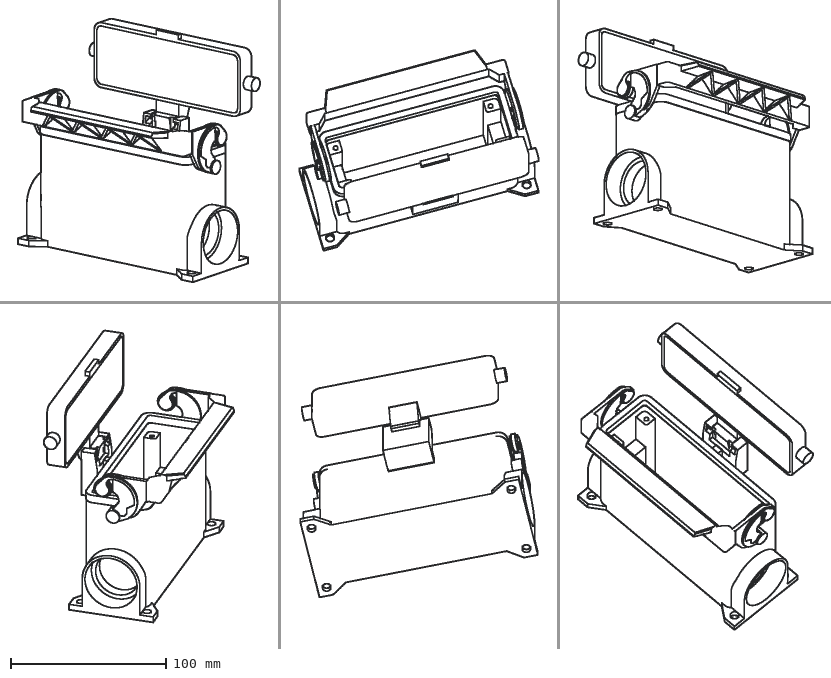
import cadquery as cq
import math

HALF_LENGTH = 72.0
RIM_X = 61.9
BOX_X = 61.8
BOX_HEIGHT = 79.8
BOX_BACK = 22.0
BOX_FRONT = -21.5
BOX_RADIUS = 6.0
RIM_BOTTOM = 74.5
RIM_FRONT = -BOX_BACK
CAVITY_X = 57.9
CAVITY_Y = 17.9
MOUTH_RADIUS = 2.0
CAVITY_RADIUS = 2.9
CAVITY_STEP = 0.1
BASE_THICKNESS = 4.0

POST_INNER_X = 48.2
POST_INNER_Y = 9.8
POST_TOP = 68.3
POST_RADIUS = 1.5
POST_HOLE_X = 51.8
POST_HOLE_Y = 13.4
POST_HOLE_RADIUS = 1.5
POST_HOLE_DEPTH = 14.4
BLOCK_INNER_X = 49.0

BOSS_RADIUS = 19.6
BOSS_Z = 23.9
BORE_RADIUS = 14.8
COUNTERBORE_RADIUS = 17.7
COUNTERBORE_DEPTH = 13.2
BORE_DEPTH = 21.0

FOOT_Y = 28.5
FOOT_TIP_X = 63.0
FOOT_ROOT_X = 53.0
FOOT_HOLE_X = 65.8
FOOT_HOLE_Y = 22.3
FOOT_HOLE_RADIUS = 2.7

PIN_RADIUS = 4.5
PIVOT_Z = 70.0
PIVOT_END_X = 68.5
COVER_PIN_Y = 42.9
COVER_PIN_END_X = 66.8

COVER_X = 60.2
COVER_BOTTOM = 93.7
COVER_TOP = 137.2
COVER_FRONT = 35.3
COVER_BACK = 47.8
COVER_RADIUS = 5.9
COVER_EDGE = 1.2
COVER_WALL = 2.3
COVER_CAVITY_FILLET = 1.3
TAB_X = 9.2
TAB_TOP = 140.3
TAB_BACK = 38.5

HINGE_X = 15.1
HINGE_BACK = 39.0
HINGE_BOTTOM = 53.9
HINGE_TOP = 85.1
HINGE_TOP_FRONT = 30.1
HINGE_FRONT = 28.4
HINGE_FOOT_TOP = 59.8
HINGE_STEP_Y = 23.6
HINGE_STEP_Z = 55.7
HINGE_RIB_X = 2.7
TONGUE_FRONT = 35.4
TONGUE_TIP_Y = 42.5
TONGUE_BEVEL = 1.2
KNUCKLE_FRONT = 31.2
KNUCKLE_TOP = 85.7
KNUCKLE_BOTTOM = 76.2
SLOT_FLOOR = 73.7
NOSE_X = 6.2
NOSE_TIP_Y = 29.7
NOSE_TIP_Z = 85.2
POCKET_X = (9.0, 13.2)
POCKET_FLOOR = 78.5
POCKET_FLOOR_BACK = 81.0
POCKET_TOP = 83.2
POCKET_BACK = 33.1

LEVER_TOP = 97.9
BAR_BOTTOM = 83.8
BAR_FRONT = -31.8
BAR_BACK = -27.8
BAR_ROOT_Y = -22.0
BAR_END_X = 66.7
BAR_ROOT_X = 60.2
BAR_ELBOW_X = 54.9
BAR_CORNER = 1.9
BAR_EDGE = 1.3
WEB_X = (63.5, 66.1)
DISC_X = (62.2, 67.2)
DISC_INSET = 0.1
PAD_OUTER_X = 67.4
HEEL = (-10.1, 69.7)
CHEEK_FOOT = (-3.6, 66.7)
LOBE_Y = 7.8
LOBE_Z = 87.7
WEB_LOBE_RADIUS = 5.8
DISC_LOBE_RADIUS = 4.8
LIP_ROOT_X = 53.9
LIP_TIP_X = 49.5
LIP_TIP_Y = -43.2
LIP_TOP_Z = 99.0
LIP_BEVEL_Y = 1.3
LIP_BEVEL_Z = 2.3
LIP_TIP_BOTTOM = 95.8
LIP_ROOT_BOTTOM = 93.9
LIP_EDGE = 0.7
TRUSS_PITCH = 23.9
TRUSS_BAYS = 8
TRUSS_BOTTOM = 84.4
TRUSS_TOP = 95.3
TRUSS_TIP_Y = -41.6
TRUSS_THICKNESS = 1.5


def block(x0, x1, y0, y1, z0, z1):
    """Box between two opposite corners."""
    return cq.Workplane("XY").box(x1 - x0, y1 - y0, z1 - z0, centered=False).translate((x0, y0, z0))


def x_cylinder(radius, x0, x1, y, z):
    """Cylinder along X between x0 and x1."""
    return cq.Workplane("YZ", origin=(x0, y, z)).circle(radius).extrude(x1 - x0)


def slab(outline, x_range):
    """Closed YZ outline extruded between two X positions."""
    x0, x1 = x_range
    return outline.close().extrude(x1 - x0).translate((x0, 0, 0))


def mirrored(shape):
    """The shape together with its mirror image across the YZ plane."""
    return shape.union(shape.mirror("YZ"))


def make_box():
    body = block(-BOX_X, BOX_X, BOX_FRONT, BOX_BACK, 0, BOX_HEIGHT)
    body = body.edges("|Z").fillet(BOX_RADIUS)
    rim = block(-RIM_X, RIM_X, RIM_FRONT, BOX_BACK, RIM_BOTTOM, BOX_HEIGHT)
    return body.union(rim.edges("|Z").fillet(BOX_RADIUS))


def make_cavity():
    mouth = block(-CAVITY_X, CAVITY_X, -CAVITY_Y, CAVITY_Y, RIM_BOTTOM, BOX_HEIGHT)
    mouth = mouth.edges("|Z").fillet(MOUTH_RADIUS)
    x = CAVITY_X - CAVITY_STEP
    y = CAVITY_Y - CAVITY_STEP
    cavity = block(-x, x, -y, y, BASE_THICKNESS, RIM_BOTTOM)
    cavity = cavity.edges("|Z").fillet(CAVITY_RADIUS).union(mouth)
    end_block = block(BLOCK_INNER_X, BOX_X, -BOX_BACK, BOX_BACK, 0, BOSS_Z + BOSS_RADIUS)
    cavity = cavity.cut(mirrored(end_block))
    for side in (-1, 1):
        y0, y1 = sorted((side * POST_INNER_Y, side * BOX_BACK))
        post = block(POST_INNER_X, BOX_X, y0, y1, 0, POST_TOP)
        inner_edge = "|Z and <X and " + ("<Y" if side > 0 else ">Y")
        post = post.edges(inner_edge).fillet(POST_RADIUS)
        cavity = cavity.cut(mirrored(post))
    return cavity


def make_post_holes():
    points = [(x, y) for x in (-POST_HOLE_X, POST_HOLE_X) for y in (-POST_HOLE_Y, POST_HOLE_Y)]
    plane = cq.Workplane("XY", origin=(0, 0, POST_TOP))
    return plane.pushPoints(points).circle(POST_HOLE_RADIUS).extrude(-POST_HOLE_DEPTH)


def make_boss():
    """Cable boss at +X with a round top and straight flanks."""
    dome = x_cylinder(BOSS_RADIUS, CAVITY_X, HALF_LENGTH, 0, BOSS_Z)
    return dome.union(block(CAVITY_X, HALF_LENGTH, -BOSS_RADIUS, BOSS_RADIUS, 0, BOSS_Z))


def make_cable_entry():
    """Blind stepped bore in the +X boss."""
    bore = x_cylinder(BORE_RADIUS, HALF_LENGTH - BORE_DEPTH, HALF_LENGTH, 0, BOSS_Z)
    shoulder_x = HALF_LENGTH - COUNTERBORE_DEPTH
    return bore.union(x_cylinder(COUNTERBORE_RADIUS, shoulder_x, HALF_LENGTH, 0, BOSS_Z))


def make_foot():
    """Mounting plate under the +X end with two screw holes."""
    outline = [
        (HALF_LENGTH, -FOOT_Y),
        (HALF_LENGTH, FOOT_Y),
        (FOOT_TIP_X, FOOT_Y),
        (FOOT_ROOT_X, BOX_BACK),
        (FOOT_ROOT_X, BOX_FRONT),
        (FOOT_TIP_X, -FOOT_Y),
    ]
    foot = cq.Workplane("XY").polyline(outline).close().extrude(BASE_THICKNESS)
    holes = cq.Workplane("XY").pushPoints([(FOOT_HOLE_X, -FOOT_HOLE_Y), (FOOT_HOLE_X, FOOT_HOLE_Y)])
    return foot.cut(holes.circle(FOOT_HOLE_RADIUS).extrude(BASE_THICKNESS))


def make_hinge():
    """Bracket on the back wall, with a central rib and two pockets."""
    outline = [
        (BOX_BACK, HINGE_STEP_Z),
        (HINGE_STEP_Y, HINGE_STEP_Z),
        (HINGE_STEP_Y, HINGE_BOTTOM),
        (HINGE_BACK, HINGE_BOTTOM),
        (HINGE_BACK, HINGE_TOP),
        (HINGE_TOP_FRONT, HINGE_TOP),
        (HINGE_FRONT, RIM_BOTTOM),
        (HINGE_FRONT, HINGE_FOOT_TOP),
        (BOX_BACK, HINGE_FOOT_TOP),
    ]
    bracket = cq.Workplane("YZ").polyline(outline).close().extrude(HINGE_X, both=True)
    slot = block(-TAB_X, TAB_X, BOX_BACK, KNUCKLE_FRONT, SLOT_FLOOR, HINGE_TOP)
    pocket_outline = [
        (BOX_BACK, POCKET_FLOOR),
        (HINGE_FRONT, POCKET_FLOOR),
        (POCKET_BACK, POCKET_FLOOR_BACK),
        (POCKET_BACK, POCKET_TOP),
        (BOX_BACK, POCKET_TOP),
    ]
    pocket = slab(cq.Workplane("YZ").polyline(pocket_outline), POCKET_X)
    rib = block(-HINGE_RIB_X, HINGE_RIB_X, BOX_BACK, HINGE_FRONT, HINGE_FOOT_TOP, RIM_BOTTOM)
    return bracket.cut(slot).cut(mirrored(pocket)).union(rib)


def make_cover():
    shell = block(-COVER_X, COVER_X, COVER_FRONT, COVER_BACK, COVER_BOTTOM, COVER_TOP)
    shell = shell.edges("|Y").fillet(COVER_RADIUS)
    shell = shell.faces(">Y").edges().fillet(COVER_EDGE)
    inner_x = COVER_X - COVER_WALL
    inner_z0 = COVER_BOTTOM + COVER_WALL
    inner_z1 = COVER_TOP - COVER_WALL
    hollow = block(-inner_x, inner_x, COVER_FRONT, COVER_BACK - COVER_WALL, inner_z0, inner_z1)
    hollow = hollow.edges("|Y").fillet(COVER_RADIUS - COVER_WALL)
    hollow = hollow.faces(">Y").edges().fillet(COVER_CAVITY_FILLET)
    shell = shell.cut(hollow)
    tab = block(-TAB_X, TAB_X, COVER_FRONT, TAB_BACK, inner_z1, TAB_TOP)
    pin_z = (COVER_BOTTOM + COVER_TOP) / 2
    pin = x_cylinder(PIN_RADIUS, inner_x, COVER_PIN_END_X, COVER_PIN_Y, pin_z)
    return shell.union(tab).union(mirrored(pin.cut(hollow)))


def make_tongue():
    """Tapered tongue that carries the cover, ending in a knuckle in the hinge."""
    outline = [
        (TONGUE_FRONT, COVER_BOTTOM + COVER_WALL),
        (COVER_BACK - COVER_EDGE, COVER_BOTTOM + COVER_WALL),
        (COVER_BACK, COVER_BOTTOM - COVER_EDGE),
        (TONGUE_TIP_Y, KNUCKLE_BOTTOM + TONGUE_BEVEL),
        (TONGUE_TIP_Y - TONGUE_BEVEL, KNUCKLE_BOTTOM),
        (KNUCKLE_FRONT, KNUCKLE_BOTTOM),
        (KNUCKLE_FRONT, KNUCKLE_TOP),
        (TONGUE_FRONT, KNUCKLE_TOP),
    ]
    tongue = cq.Workplane("YZ").polyline(outline).close().extrude(TAB_X, both=True)
    nose_outline = [
        (KNUCKLE_FRONT, KNUCKLE_TOP),
        (NOSE_TIP_Y, NOSE_TIP_Z),
        (KNUCKLE_FRONT, KNUCKLE_BOTTOM),
    ]
    nose = cq.Workplane("YZ").polyline(nose_outline).close().extrude(NOSE_X, both=True)
    return tongue.union(nose)


def make_housing():
    """Box, bosses, feet, pivot pins, hinge and the cover that hangs on it."""
    body = make_box().union(mirrored(make_boss())).union(mirrored(make_foot()))
    body = body.cut(make_cavity()).cut(make_post_holes()).cut(mirrored(make_cable_entry()))
    pivot = x_cylinder(PIN_RADIUS, CAVITY_X, PIVOT_END_X, 0, PIVOT_Z)
    body = body.union(mirrored(pivot))
    return body.union(make_hinge()).union(make_tongue()).union(make_cover())


def seat_edge():
    """Edge shared by all cheek layers: from the pivot pin up to the top of the throat."""
    return (
        cq.Workplane("YZ")
        .moveTo(0, PIVOT_Z)
        .lineTo(0.5, 74.9)
        .lineTo(-3.3, 79.8)
        .threePointArc((-2.3, 85.5), (0.3, 87.1))
        .lineTo(0.3, 96.3)
    )


def hook_edge(lobe_radius, inset):
    """Seat edge continued around the throat and the lobe to the top edge of the cheek."""
    slant = lobe_radius * math.sqrt(0.5)
    return (
        seat_edge()
        .threePointArc((3.3, 95), (4.9, 92.5))
        .lineTo(LOBE_Y - slant, LOBE_Z + slant)
        .threePointArc((LOBE_Y, LOBE_Z - lobe_radius), (LOBE_Y + slant, LOBE_Z + slant))
        .lineTo(6.3, 96.5 - inset)
        .threePointArc((4.6, 97.5 - inset), (2.5, LEVER_TOP - inset))
    )


def make_web():
    """Thin layer of the cheek that reaches the cross bar."""
    outline = (
        hook_edge(WEB_LOBE_RADIUS, 0)
        .lineTo(BAR_ROOT_Y, LEVER_TOP)
        .lineTo(BAR_ROOT_Y, BAR_BOTTOM)
        .lineTo(-17.0, 75.2)
        .threePointArc((-14.3, 71.7), HEEL)
        .lineTo(*CHEEK_FOOT)
    )
    return slab(outline, WEB_X)


def make_disc():
    """Thicker round layer that carries the lobe and grips the pivot pin."""
    outline = (
        hook_edge(DISC_LOBE_RADIUS, DISC_INSET)
        .lineTo(-1.5, LEVER_TOP - DISC_INSET)
        .threePointArc((-16.0, 84.1), HEEL)
        .lineTo(*CHEEK_FOOT)
    )
    return slab(outline, DISC_X)


def make_pad():
    """Slightly raised area on the outside of the disc, stepped down to the pivot pin."""
    outline = (
        seat_edge()
        .threePointArc((-10.4, 91.9), (-14.3, 81.0))
        .lineTo(-14.3, 80.2)
        .lineTo(-9.0, 76.9)
        .lineTo(-9.0, 73.2)
        .lineTo(-7.5, 71.1)
        .lineTo(-4.6, 70.8)
    )
    return slab(outline, (WEB_X[0], PAD_OUTER_X))


def make_cheek():
    """+X cheek of the lever, cut out to sit on the pivot pin."""
    cheek = make_web().union(make_disc()).union(make_pad())
    return cheek.cut(x_cylinder(PIN_RADIUS, CAVITY_X, PIVOT_END_X, 0, PIVOT_Z))


def make_bar():
    """Cross bar whose ends turn back toward the cheeks."""
    half = [
        (BAR_END_X, BAR_FRONT),
        (BAR_END_X, BAR_ROOT_Y),
        (BAR_ROOT_X, BAR_ROOT_Y),
        (BAR_ELBOW_X, BAR_BACK),
    ]
    outline = half + [(-x, y) for x, y in reversed(half)]
    plane = cq.Workplane("XY", origin=(0, 0, BAR_BOTTOM))
    bar = plane.polyline(outline).close().extrude(LEVER_TOP - BAR_BOTTOM)
    bar = bar.edges("|Z and <Y").fillet(BAR_CORNER)
    return bar.faces("<Y").edges(">Z").fillet(BAR_EDGE)


def make_lip():
    """Tilted finger lip along the top of the bar, narrowing outward."""
    profile = [
        (BAR_BACK, LEVER_TOP),
        (LIP_TIP_Y + LIP_BEVEL_Y, LIP_TOP_Z),
        (LIP_TIP_Y, LIP_TOP_Z - LIP_BEVEL_Z),
        (LIP_TIP_Y, LIP_TIP_BOTTOM),
        (BAR_FRONT, LIP_ROOT_BOTTOM),
        (BAR_BACK, LIP_ROOT_BOTTOM),
    ]
    lip = cq.Workplane("YZ").polyline(profile).close().extrude(LIP_ROOT_X, both=True)
    plan = [
        (-LIP_ROOT_X, BAR_BACK),
        (-LIP_ROOT_X, BAR_FRONT),
        (-LIP_TIP_X, LIP_TIP_Y),
        (LIP_TIP_X, LIP_TIP_Y),
        (LIP_ROOT_X, BAR_FRONT),
        (LIP_ROOT_X, BAR_BACK),
    ]
    lip = lip.intersect(cq.Workplane("XY").polyline(plan).close().extrude(TAB_TOP))
    for side in (-1, 1):
        slant_middle = (side * (LIP_ROOT_X + LIP_TIP_X) / 2, (BAR_FRONT + LIP_TIP_Y) / 2, LIP_TOP_Z)
        lip = lip.edges(cq.selectors.NearestToPointSelector(slant_middle)).chamfer(LIP_EDGE)
    return lip


def make_truss():
    """Zigzag ribs under the lip, tapering to nothing at the bottom of the bar."""
    step = TRUSS_PITCH / 2
    rise = TRUSS_TOP - TRUSS_BOTTOM
    half_width = TRUSS_THICKNESS / 2 * math.hypot(step, rise) / rise
    depth = BAR_BACK - LIP_TIP_Y
    wedge_profile = [
        (BAR_BACK, TRUSS_BOTTOM),
        (BAR_FRONT, TRUSS_BOTTOM),
        (TRUSS_TIP_Y, TRUSS_TOP),
        (BAR_BACK, TRUSS_TOP),
    ]
    wedge = cq.Workplane("YZ").polyline(wedge_profile).close().extrude(LIP_ROOT_X, both=True)
    truss = None
    for bay in range(TRUSS_BAYS):
        x0 = (bay - TRUSS_BAYS / 2) * step
        z0, z1 = (TRUSS_BOTTOM, TRUSS_TOP) if bay % 2 == 0 else (TRUSS_TOP, TRUSS_BOTTOM)
        outline = [
            (x0 - half_width, z0),
            (x0 + half_width, z0),
            (x0 + step + half_width, z1),
            (x0 + step - half_width, z1),
        ]
        rib = cq.Workplane("XZ", origin=(0, BAR_BACK, 0)).polyline(outline).close().extrude(depth)
        truss = rib if truss is None else truss.union(rib)
    return truss.intersect(wedge)


def make_lever():
    """Locking lever: two cheeks joined by a ribbed bar."""
    return make_bar().union(make_lip()).union(make_truss()).union(mirrored(make_cheek()))


housing = make_housing()
lever = make_lever()
result = cq.Compound.makeCompound([housing.val(), lever.val()])